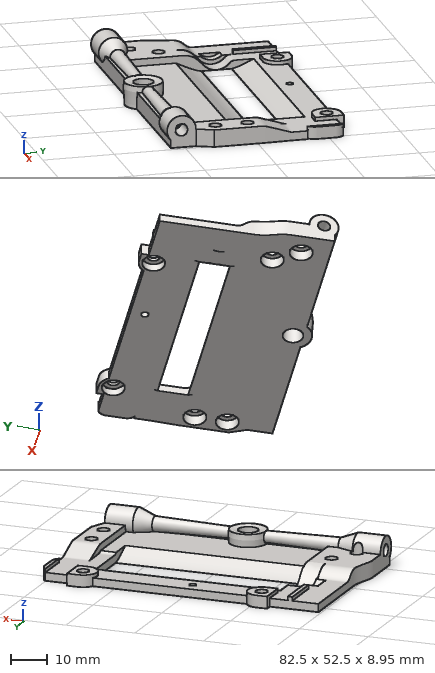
import cadquery as cq
import math


plate_top = 2.4
mid_deck_top = 2.9
flange_top = 4.9
pad_top = 3.5

plate_left = 1.9
plate_back = 48.0
flange_inner_left = 16.0
flange_inner_right = 74.1
tab_inner = 81.2
right_edge_back = 81.95
right_edge = 82.2
tab_outer = 82.45
right_corner_y = 11.6
left_jog_front = 13.85
left_jog_back = 19.9
left_jog_radii = (9.15, 13.5)

hinge_y = 3.0
hinge_z = 4.95
hinge_length = 80.15
barrel_radius = 4.0
barrel_length = 8.2
cone_length = 4.9
rod_end_radius = 2.15
rod_mid_radius = 1.6
pin_diameter = 3.4
pin_depth = 6.6
pin_tip_diameter = 2.0
pin_tip_depth = 2.5

boss_x = 40.0
boss_radius = 5.45
boss_rim_radius = 5.3
boss_foot_radius = 5.2
boss_top = 6.5
boss_foot_height = 1.1
boss_bore = 5.6
boss_dish = 8.4
boss_dish_depth = 0.25

roller_y = 29.85
roller_radius = 19
window_right = 69.6
window_floor_half = 4.2
window_arc_half = 8.0
cup_left = 10.8
cup_radius = 4.95
cup_floor = 0.1
cup_half = 3.7
cup_back = 35.1
cup_front = 20.2
notch_left = 8.1
notch_radius = 4.45
notch_half = 2.9

left_ramp_foot = 25.8
left_ramp_head = 22.7
right_ramp_foot = 33.2
right_ramp_head = 25.65
ramp_foot_radius = 2.7
ramp_head_radius = 5.2

ear_radius = 4.0
ear_y = 46.0
ear_offset = 3.1
ridge_left = 9.5
ridge_front = 35.95
tab_front = 37.85
tab_round = 2.2
tab_round_inset = 0.3

screw_diameter = 3.4
flange_holes = [(78.1, 21.9), (78.1, 12.95), (11.05, 14.9), (6.5, 7.9)]
flange_counterbore = 6.3
flange_counterbore_top = 3.3
ear_counterbore = 6.2
ear_counterbore_top = plate_top
pilot_diameter = 2.0
pilot_y = 43.95


def box(x0, x1, y0, y1, z0, z1):
    return cq.Workplane("XY").box(x1 - x0, y1 - y0, z1 - z0, centered=False).translate((x0, y0, z0))


def cylinder(x, y, diameter, height):
    return cq.Workplane("XY").center(x, y).circle(diameter / 2).extrude(height)


def outline_points():
    return [
        (0, 0),
        (hinge_length, 0),
        (hinge_length, hinge_y + barrel_radius),
        (right_edge, right_corner_y),
        (right_edge, right_ramp_head),
        (right_edge_back, right_ramp_foot),
        (right_edge_back, tab_front),
        (tab_inner, tab_front),
        (tab_inner, plate_back),
        (plate_left, plate_back),
        (plate_left, left_jog_back),
        (0, left_jog_front),
    ]


def plate_outline(height):
    """Plan outline of the plate, with the jog of its left edge rounded into an S."""
    block = cq.Workplane("XY").polyline(outline_points()).close().extrude(height)
    for (x, y), radius in zip([(0, left_jog_front), (plate_left, left_jog_back)], left_jog_radii):
        corner = cq.selectors.NearestToPointSelector((x, y, height / 2))
        block = block.edges("|Z").edges(corner).fillet(radius)
    return block


def ramp_profile(x0, x1, foot, head):
    """Side profile of a raised deck with a ramp at its back, extruded from x0 to x1."""
    deck = (
        cq.Workplane("YZ")
        .lineTo(plate_back, 0)
        .lineTo(plate_back, plate_top)
        .lineTo(foot, plate_top)
        .lineTo(head, flange_top)
        .lineTo(0, flange_top)
        .close()
        .extrude(x1 - x0)
        .translate((x0, 0, 0))
    )
    middle_x = (x0 + x1) / 2
    for y, z, radius in [(foot, plate_top, ramp_foot_radius), (head, flange_top, ramp_head_radius)]:
        deck = deck.edges(cq.selectors.NearestToPointSelector((middle_x, y, z))).fillet(radius)
    return deck


def make_plate():
    """Plate with a flange at each end and a lower deck between them."""
    left = ramp_profile(0, flange_inner_left, left_ramp_foot, left_ramp_head)
    middle = ramp_profile(flange_inner_left, flange_inner_right, left_ramp_foot, left_ramp_head)
    middle = middle.intersect(box(0, tab_outer, 0, plate_back, 0, mid_deck_top))
    right = ramp_profile(flange_inner_right, tab_outer, right_ramp_foot, right_ramp_head)
    front_lip = box(0, hinge_length, 0, hinge_y, 0, flange_top)
    cup_shoulder = box(cup_left, flange_inner_left, 0, roller_y - cup_half, 0, flange_top)
    plate = left.union(middle).union(right).union(front_lip).union(cup_shoulder)
    return plate.intersect(plate_outline(flange_top))


def window_cutter():
    """Trough for the roller: an arc opened through the underside, with tangent flanks above it."""
    axis_z = math.sqrt(roller_radius**2 - window_floor_half**2)
    tangent_z = axis_z - math.sqrt(roller_radius**2 - window_arc_half**2)
    flank_slope = window_arc_half / (axis_z - tangent_z)
    top_half = window_arc_half + (flange_top - tangent_z) / flank_slope
    trough = (
        cq.Workplane("YZ")
        .moveTo(roller_y - top_half, flange_top)
        .lineTo(roller_y - window_arc_half, tangent_z)
        .threePointArc((roller_y, axis_z - roller_radius), (roller_y + window_arc_half, tangent_z))
        .lineTo(roller_y + top_half, flange_top)
        .close()
        .extrude(window_right - flange_inner_left)
    )
    return trough.translate((flange_inner_left, 0, 0))


def cup_cutter():
    """Cup at the left end of the window: a round floor blending out onto the plate and the flange."""
    axis_z = cup_floor + cup_radius
    edge_z = axis_z - math.sqrt(cup_radius**2 - cup_half**2)
    run = axis_z - edge_z
    front_edge = (roller_y - cup_half, edge_z)
    cup = (
        cq.Workplane("YZ")
        .moveTo(cup_front, flange_top)
        .spline([front_edge], tangents=[(1, 0), (run, -cup_half)], includeCurrent=True)
        .threePointArc((roller_y, cup_floor), (roller_y + cup_half, edge_z))
        .spline([(cup_back, plate_top)], tangents=[(run, cup_half), (1, 0)], includeCurrent=True)
        .lineTo(cup_back, flange_top)
        .close()
        .extrude(flange_inner_left - cup_left)
    )
    return cup.translate((cup_left, 0, 0))


def notch_cutter():
    """Shallow round notch that continues the cup to the left."""
    axis_z = plate_top + math.sqrt(notch_radius**2 - notch_half**2)
    notch = cq.Workplane("YZ").center(roller_y, axis_z).circle(notch_radius).extrude(cup_left - notch_left)
    return notch.translate((notch_left, 0, 0))


def make_hinge():
    """Barrels at both ends, tapering into a rod that is slightly waisted at the boss."""
    cone_end = barrel_length + cone_length
    hinge = (
        cq.Workplane("XY")
        .lineTo(0, barrel_radius)
        .lineTo(barrel_length, barrel_radius)
        .lineTo(cone_end, rod_end_radius)
        .lineTo(boss_x, rod_mid_radius)
        .lineTo(hinge_length - cone_end, rod_end_radius)
        .lineTo(hinge_length - barrel_length, barrel_radius)
        .lineTo(hinge_length, barrel_radius)
        .lineTo(hinge_length, 0)
        .close()
        .revolve(360, (0, 0, 0), (1, 0, 0))
    )
    boss_space = cylinder(boss_x, hinge_y, 2 * boss_rim_radius, hinge_z + barrel_radius)
    return hinge.translate((0, hinge_y, hinge_z)).cut(boss_space)


def make_boss():
    boss = (
        cq.Workplane("XZ")
        .lineTo(boss_foot_radius, 0)
        .lineTo(boss_foot_radius, boss_foot_height)
        .lineTo(boss_radius, flange_top)
        .lineTo(boss_rim_radius, boss_top)
        .lineTo(boss_dish / 2, boss_top)
        .lineTo(boss_bore / 2, boss_top - boss_dish_depth)
        .lineTo(0, boss_top - boss_dish_depth)
        .close()
        .revolve(360, (0, 0, 0), (0, 1, 0))
    )
    return boss.translate((boss_x, hinge_y, 0))


def make_ear(side_x, inward):
    """Screw ear with one round end; inward is the X direction from its flat side."""
    center_x = side_x + inward * ear_offset
    front = ear_y - ear_radius
    back = ear_y + ear_radius
    return (
        cq.Workplane("XY")
        .moveTo(side_x, front)
        .lineTo(center_x, front)
        .threePointArc((center_x + inward * ear_radius, ear_y), (center_x, back))
        .lineTo(side_x, back)
        .close()
        .extrude(pad_top)
    )


def make_tab():
    """Stop along the right edge with its outer corners rounded off."""
    round_x = tab_outer - tab_round_inset
    return (
        cq.Workplane("XY")
        .moveTo(tab_inner, tab_front)
        .threePointArc((round_x, tab_front + tab_round / 2), (tab_outer, tab_front + tab_round))
        .lineTo(tab_outer, plate_back - tab_round)
        .threePointArc((round_x, plate_back - tab_round / 2), (tab_inner, plate_back))
        .close()
        .extrude(pad_top)
    )


def screw_hole(x, y, counterbore, counterbore_top):
    """Clearance hole with a counterbore from the underside."""
    shank = cylinder(x, y, screw_diameter, hinge_z + barrel_radius)
    return shank.union(cylinder(x, y, counterbore, counterbore_top))


def pin_hole():
    """Blind hole into the left barrel, ending in a narrower conical tip."""
    hole = (
        cq.Workplane("XY")
        .lineTo(0, pin_diameter / 2)
        .lineTo(pin_depth, pin_diameter / 2)
        .lineTo(pin_depth, pin_tip_diameter / 2)
        .lineTo(pin_depth + pin_tip_depth, 0)
        .close()
        .revolve(360, (0, 0, 0), (1, 0, 0))
    )
    return hole.translate((0, hinge_y, hinge_z))


result = make_plate()
for cutter in (window_cutter(), cup_cutter(), notch_cutter()):
    result = result.cut(cutter)

ridge = box(ridge_left, cup_left, ridge_front, plate_back, 0, pad_top)
for addition in (make_hinge(), make_boss(), make_tab(), ridge):
    result = result.union(addition)

for side_x, inward in [(flange_inner_left, 1), (flange_inner_right, -1)]:
    result = result.union(make_ear(side_x, inward))
    ear_x = side_x + inward * ear_offset
    result = result.cut(screw_hole(ear_x, ear_y, ear_counterbore, ear_counterbore_top))
for x, y in flange_holes:
    result = result.cut(screw_hole(x, y, flange_counterbore, flange_counterbore_top))

result = result.cut(cylinder(boss_x, pilot_y, pilot_diameter, plate_top))
result = result.cut(cylinder(boss_x, hinge_y, boss_bore, boss_top))

left_pin = pin_hole()
right_pin = left_pin.mirror("YZ", (hinge_length / 2, 0, 0))
result = result.cut(left_pin).cut(right_pin)